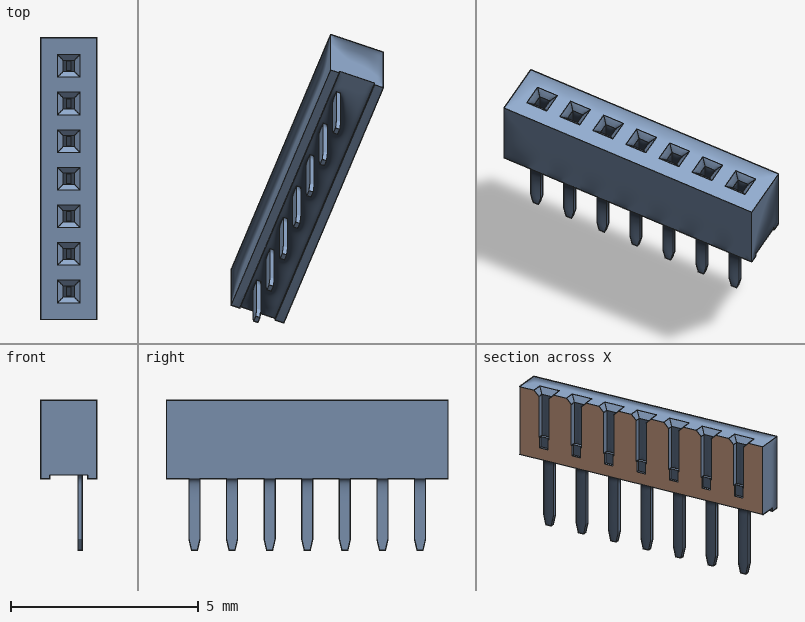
import cadquery as cq

contact_count = 7
pitch = 1.0
body_width = 1.5
body_length = 7.5
body_height = 2.1
foot_height = 0.1
foot_width = 0.25

mouth_size = 0.6
throat_size = 0.3
funnel_depth = (mouth_size - throat_size) / 2
throat_depth = 1.2
slot_width = 0.12
slot_length = 0.25
slot_depth = 0.3

pin_length = 1.9
pin_width = 0.3
pin_thickness = 0.12
pin_offset = 0.3
pin_tip_width = 0.16
pin_taper_height = 0.3

body_top = body_height
throat_top = body_top - funnel_depth
throat_floor = throat_top - throat_depth
pin_tip = -pin_length

contact_positions = [(i - (contact_count - 1) / 2) * pitch for i in range(contact_count)]


def make_body():
    """Block with a full-length relief underneath, leaving a foot along each side."""
    block = cq.Workplane("XY").box(body_width, body_length, body_height, centered=(True, True, False))
    relief_width = body_width - 2 * foot_width
    relief = cq.Workplane("XY").box(relief_width, body_length, foot_height, centered=(True, True, False))
    return block.cut(relief)


def make_socket(y):
    """Void of one socket: square funnel, square throat and a narrow slot in the throat floor."""
    funnel = (
        cq.Workplane("XY", origin=(0, y, body_top))
        .rect(mouth_size, mouth_size)
        .workplane(offset=-funnel_depth)
        .rect(throat_size, throat_size)
        .loft(ruled=True)
    )
    throat = (
        cq.Workplane("XY", origin=(0, y, throat_floor))
        .rect(throat_size, throat_size)
        .extrude(throat_depth)
    )
    slot = (
        cq.Workplane("XY", origin=(0, y, throat_floor))
        .rect(slot_width, slot_length)
        .extrude(-slot_depth)
    )
    return funnel.union(throat).union(slot)


def make_pin(y):
    """Flat pin hanging from the relief, its edges tapering to a blunt tip."""
    half_width = pin_width / 2
    half_tip = pin_tip_width / 2
    taper_start = pin_tip + pin_taper_height
    outline = [
        (y - half_width, foot_height),
        (y - half_width, taper_start),
        (y - half_tip, pin_tip),
        (y + half_tip, pin_tip),
        (y + half_width, taper_start),
        (y + half_width, foot_height),
    ]
    return (
        cq.Workplane("YZ", origin=(pin_offset, 0, 0))
        .polyline(outline)
        .close()
        .extrude(pin_thickness / 2, both=True)
    )


result = make_body()
for contact_y in contact_positions:
    result = result.cut(make_socket(contact_y)).union(make_pin(contact_y))